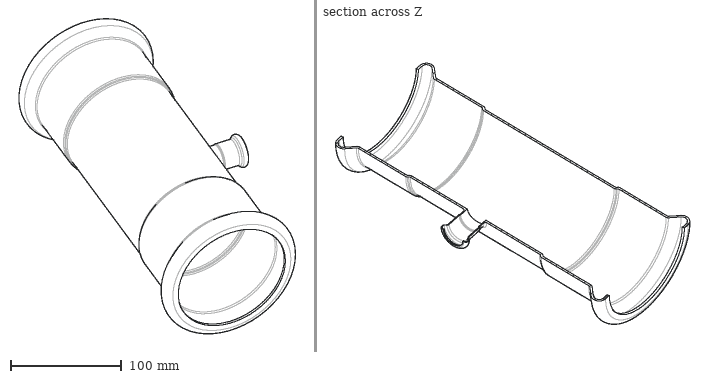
import cadquery as cq
import math

LENGTH = 312.0
HALF_LENGTH = LENGTH / 2
WALL = 2.5
BEAD_CREST = 66.5
BEAD_RADIUS = 7.5
SOCKET_RADIUS = 112.0 / 2
TUBE_RADIUS = 108.0 / 2
REDUCER_START = 78.0
BEAD_BLEND = 2.65
REDUCER_BLEND = 2.2

BRANCH_END = 85.2
BRANCH_WALL = 1.2
BRANCH_BEAD_CREST = 15.5
BRANCH_BEAD_RADIUS = 3.0
BRANCH_SOCKET_RADIUS = 25.0 / 2
BRANCH_TUBE_RADIUS = 23.7 / 2
BRANCH_REDUCER_START = 23.5
BRANCH_BEAD_BLEND = 2.8
BRANCH_REDUCER_BLEND = 1.0
BRANCH_ROOT_FILLET = 2.0

COS_45 = math.cos(math.pi / 4)
TAN_HALF_45 = math.tan(math.pi / 8)


def blend_corner(path, x, y, radius, cone_first):
    """Round a corner between a 45 degree descending cone and a straight cylinder."""
    tangent = radius * TAN_HALF_45
    slope_step = tangent * COS_45
    if cone_first:
        start = (x - slope_step, y + slope_step)
        end = (x + tangent, y)
    else:
        start = (x - tangent, y)
        end = (x + slope_step, y - slope_step)
    return path.lineTo(*start).tangentArcPoint(end, relative=False)


def press_end(inset, crest, bead_radius, socket_radius, tube_radius,
              reducer_start, bead_blend, reducer_blend, length):
    """Solid of revolution about X, mouth at X = 0, with its surface set inwards by inset."""
    bead_center = crest - bead_radius
    bead = bead_radius - inset
    socket = socket_radius - inset
    tube = tube_radius - inset
    cone_x = bead_radius + bead * COS_45
    cone_y = bead_center + bead * COS_45
    socket_x = cone_x + cone_y - socket
    reducer_x = reducer_start - inset * TAN_HALF_45
    tube_x = reducer_x + socket - tube
    bead_middle = (
        bead_radius - bead * math.sin(math.pi / 8),
        bead_center + bead * math.cos(math.pi / 8),
    )

    path = (
        cq.Workplane("XY")
        .moveTo(inset, 0)
        .lineTo(inset, bead_center)
        .threePointArc(bead_middle, (cone_x, cone_y))
    )
    path = blend_corner(path, socket_x, socket, bead_blend, True)
    path = blend_corner(path, reducer_x, socket, reducer_blend, False)
    path = blend_corner(path, tube_x, tube, reducer_blend, True)
    path = path.lineTo(length, tube).lineTo(length, 0).close()
    return path.revolve(360, (0, 0, 0), (1, 0, 0))


def run_body(inset):
    """Two mirrored press ends joined at mid length."""
    half = press_end(inset, BEAD_CREST, BEAD_RADIUS, SOCKET_RADIUS, TUBE_RADIUS,
                     REDUCER_START, BEAD_BLEND, REDUCER_BLEND, HALF_LENGTH)
    half = half.translate((-HALF_LENGTH, 0, 0))
    return half.union(half.mirror("YZ"))


def turn_to_branch(body):
    """Carry a body with its mouth at X = 0 onto the branch axis."""
    return body.rotate((0, 0, 0), (0, 0, 1), -90).translate((0, BRANCH_END, 0))


def branch_body(inset):
    """Branch from its mouth down to the axis of the run."""
    end = press_end(inset, BRANCH_BEAD_CREST, BRANCH_BEAD_RADIUS, BRANCH_SOCKET_RADIUS,
                    BRANCH_TUBE_RADIUS, BRANCH_REDUCER_START, BRANCH_BEAD_BLEND,
                    BRANCH_REDUCER_BLEND, BRANCH_END)
    return turn_to_branch(end)


def lip_opening(radius, wall):
    """Cylinder along X, mouth at X = 0, that opens a mouth lip into the hollow bead."""
    return cq.Workplane("YZ").circle(radius - wall).extrude(2 * wall)


outside = run_body(0).union(branch_body(0))
root_zone = cq.selectors.BoxSelector(
    (-BRANCH_SOCKET_RADIUS, TUBE_RADIUS - 2 * BRANCH_ROOT_FILLET, -BRANCH_SOCKET_RADIUS),
    (BRANCH_SOCKET_RADIUS, TUBE_RADIUS + BRANCH_ROOT_FILLET / 2, BRANCH_SOCKET_RADIUS),
    boundingbox=True,
)
outside = outside.edges(root_zone).fillet(BRANCH_ROOT_FILLET)

run_lip = lip_opening(SOCKET_RADIUS, WALL).translate((-HALF_LENGTH, 0, 0))
branch_lip = turn_to_branch(lip_opening(BRANCH_SOCKET_RADIUS, BRANCH_WALL))

result = (
    outside
    .cut(run_body(WALL))
    .cut(branch_body(BRANCH_WALL))
    .cut(run_lip)
    .cut(run_lip.mirror("YZ"))
    .cut(branch_lip)
)